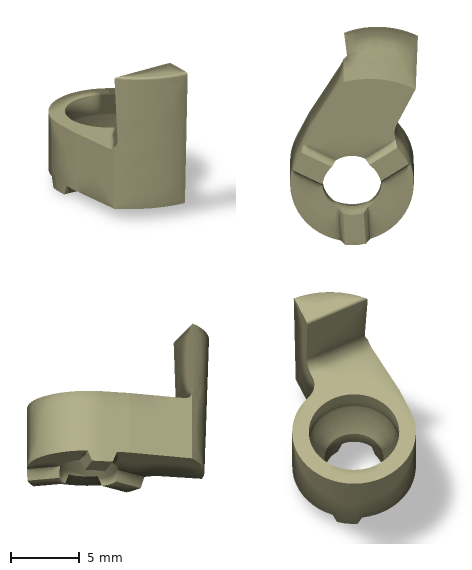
import cadquery as cq
import math


RING_R = 4.499
BODY_H = 4.52
BORE_R = 2.15
SEAT_R = 3.29
SEAT_WALL_DEPTH = 1.54
SEAT_DEPTH = 3.48
SEAT_BULGE = 0.08

FLAT_END_X = 2.0
CORNER = (6.77, -4.07)
BACK_Y = 0.85
NECK_R = 1.6

HOOK_TOP = 10.32
TIP_X_BOTTOM = 8.63
TIP_X_TOP = 9.0
HOOK_ROOT_X = 5.67
INNER_X = 6.72
INNER_LEAN = 2.0
INNER_TWIST = 3.1
INNER_BLEND_R = 0.81
TOP_ROUND = 0.19

TOOTH_H = 0.78
TOOTH_TIP_HALF = 0.75
TOOTH_ROOT_HALF = 1.08
TOOTH_ANGLES = (30, 150, 270)
TOOTH_REACH = RING_R + 0.54

CLEAR = 6.75


def body_outline(z):
    """Ring outline running into the arm, ending in a straight edge at the corner."""
    neck_y = BACK_Y + NECK_R
    neck_x = math.sqrt((RING_R + NECK_R) ** 2 - neck_y ** 2)
    blend = RING_R / (RING_R + NECK_R)
    half_turn = math.atan2(neck_y, neck_x) / 2 - math.pi / 4
    neck_mid = (neck_x + NECK_R * math.sin(half_turn), neck_y - NECK_R * math.cos(half_turn))
    return (
        cq.Workplane("XY", origin=(0, 0, z))
        .moveTo(0, -RING_R)
        .lineTo(FLAT_END_X, -RING_R)
        .lineTo(*CORNER)
        .lineTo(CORNER[0], BACK_Y)
        .lineTo(neck_x, BACK_Y)
        .threePointArc(neck_mid, (neck_x * blend, neck_y * blend))
        .threePointArc((-RING_R, 0), (0, -RING_R))
        .close()
    )


def hook_section(z, tip_x):
    """Arm-end section; its arc leaves the tip square to the flat +Y side."""
    depth = BACK_Y - CORNER[1]
    width = tip_x - CORNER[0]
    arc_r = (width ** 2 + depth ** 2) / (2 * width)
    half_sweep = math.asin(depth / arc_r) / 2
    arc_mid = (tip_x - arc_r * (1 - math.cos(half_sweep)), BACK_Y - arc_r * math.sin(half_sweep))
    slope = (CORNER[1] + RING_R) / (CORNER[0] - FLAT_END_X)
    root_y = -RING_R + slope * (HOOK_ROOT_X - FLAT_END_X)
    edges = [
        cq.Edge.makeLine(cq.Vector(HOOK_ROOT_X, root_y, z), cq.Vector(*CORNER, z)),
        cq.Edge.makeThreePointArc(
            cq.Vector(*CORNER, z), cq.Vector(*arc_mid, z), cq.Vector(tip_x, BACK_Y, z)
        ),
        cq.Edge.makeLine(cq.Vector(tip_x, BACK_Y, z), cq.Vector(HOOK_ROOT_X, BACK_Y, z)),
        cq.Edge.makeLine(cq.Vector(HOOK_ROOT_X, BACK_Y, z), cq.Vector(HOOK_ROOT_X, root_y, z)),
    ]
    return cq.Wire.assembleEdges(edges)


def inner_relief():
    """Space above the body, bounded by the leaning inner face and its blend."""
    rise = HOOK_TOP - BODY_H + CLEAR
    far_x = INNER_X - rise * math.tan(math.radians(INNER_LEAN))
    relief = (
        cq.Workplane("XZ", origin=(0, 0, BODY_H))
        .moveTo(-CLEAR, 0)
        .lineTo(INNER_X, 0)
        .lineTo(far_x, rise)
        .lineTo(-CLEAR, rise)
        .close()
        .extrude(2 * CLEAR, both=True)
        .edges("|Y and >X and <Z")
        .fillet(INNER_BLEND_R)
    )
    pivot = (INNER_X, BACK_Y)
    return relief.rotate((*pivot, 0), (*pivot, 1), INNER_TWIST)


def hook():
    block = cq.Solid.makeLoft(
        [hook_section(0, TIP_X_BOTTOM), hook_section(HOOK_TOP, TIP_X_TOP)], True
    )
    upright = cq.Workplane(obj=block).cut(inner_relief())
    return upright.faces(">Z").edges("not >Y").fillet(TOP_ROUND)


def teeth():
    """Radial tapered bars trimmed to the body outline."""
    bar = (
        cq.Workplane("YZ")
        .polyline([
            (-TOOTH_ROOT_HALF, 0),
            (TOOTH_ROOT_HALF, 0),
            (TOOTH_TIP_HALF, -TOOTH_H),
            (-TOOTH_TIP_HALF, -TOOTH_H),
        ])
        .close()
        .extrude(TOOTH_REACH)
    )
    bars = cq.Workplane("XY")
    for angle in TOOTH_ANGLES:
        bars = bars.add(bar.rotate((0, 0, 0), (0, 0, 1), angle))
    return body_outline(-TOOTH_H).extrude(TOOTH_H).intersect(bars.combine())


def screw_hole():
    """Bore with a curved seat and a straight counterbore above it."""
    seat_top = BODY_H - SEAT_WALL_DEPTH
    seat_bottom = BODY_H - SEAT_DEPTH
    seat_mid = ((SEAT_R + BORE_R) / 2 + SEAT_BULGE, (seat_top + seat_bottom) / 2 - SEAT_BULGE)
    return (
        cq.Workplane("XZ")
        .moveTo(0, -TOOTH_H)
        .lineTo(BORE_R, -TOOTH_H)
        .lineTo(BORE_R, seat_bottom)
        .threePointArc(seat_mid, (SEAT_R, seat_top))
        .lineTo(SEAT_R, BODY_H)
        .lineTo(0, BODY_H)
        .close()
        .revolve(360, (0, 0, 0), (0, 1, 0))
    )


body = body_outline(0).extrude(BODY_H)
result = body.union(hook()).union(teeth()).cut(screw_hole())